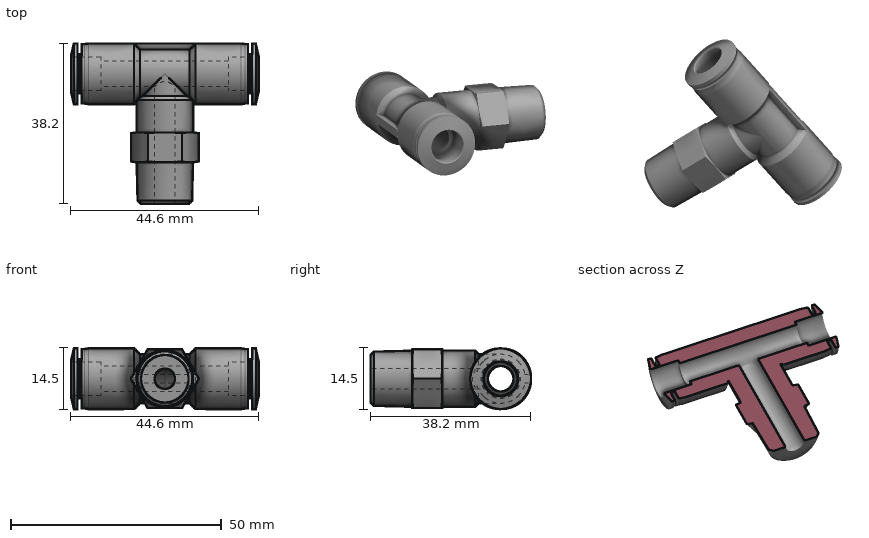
import cadquery as cq
import math


half_length = 22.3
cap_radius = 14.5 / 2
cap_face_radius = 8.3 / 2
cap_rim = 21.6
cap_inner_face = 20.7
collar_radius = 9.3 / 2
collar_groove_radius = 4.45
collar_groove_end = 20.2
sleeve_end = 19.75
sleeve_step = 19.05
sleeve_shoulder = 18.05
sleeve_lip_radius = 14.2 / 2
sleeve_radius = 14.5 / 2
sleeve_base = 7.3
waist_radius = 5.85
waist_half_length = sleeve_base - (sleeve_radius - waist_radius)

web_thickness = 2.0

tube_diameter = 7.95
socket_bottom = 15.15
tube_mouth_chamfer = 0.2
bore_diameter = 6.0

branch_radius = 13.5 / 2
branch_shoulder = 6.15
branch_cone_start = branch_shoulder - (branch_radius - waist_radius)
hex_start = 13.85
hex_end = 21.0
hex_across_flats = 14.0
hex_bevel_height = 0.22
thread_root_radius = 6.75
thread_tip_radius = 6.5
thread_chamfer = 0.9
overall_depth = 38.15
branch_end = overall_depth - cap_radius
branch_bore_diameter = 4.8

hex_across_corners = hex_across_flats / math.cos(math.pi / 6)


def revolve_about_y(points):
    """Turn (radius, distance) points about the branch axis, distance running to -Y."""
    profile = [(radius, -distance) for radius, distance in points]
    return cq.Workplane("XY").polyline(profile).close().revolve(360, (0, 0), (0, 1))


def make_run_half():
    """Waist, sleeve, collar and release cap on the +X side."""
    profile = (
        cq.Workplane("XY")
        .lineTo(0, waist_radius)
        .lineTo(waist_half_length, waist_radius)
        .lineTo(sleeve_base, sleeve_radius)
        .lineTo(sleeve_shoulder, sleeve_radius)
        .lineTo(sleeve_step, sleeve_lip_radius)
        .lineTo(sleeve_end, sleeve_lip_radius)
        .lineTo(sleeve_end, collar_groove_radius)
        .lineTo(collar_groove_end, collar_groove_radius)
        .lineTo(collar_groove_end, collar_radius)
        .lineTo(cap_inner_face, collar_radius)
        .lineTo(cap_inner_face, cap_radius)
        .lineTo(cap_rim, cap_radius)
        .lineTo(half_length, cap_face_radius)
        .lineTo(half_length, 0)
        .close()
    )
    return profile.revolve(360, (0, 0), (1, 0))


def make_web():
    """Flat web filling the back of the waist between the two sleeves."""
    return cq.Workplane("XY").box(
        2 * sleeve_base, sleeve_radius, web_thickness, centered=(True, False, True)
    )


def make_branch_body():
    """Plain shank that narrows to the waist radius where it meets the run."""
    return revolve_about_y([
        (0, 0),
        (waist_radius, 0),
        (waist_radius, branch_cone_start),
        (branch_radius, branch_shoulder),
        (branch_radius, hex_start),
        (0, hex_start),
    ])


def make_hex():
    """Hexagon with corners on +X and -X, bevelled at both ends."""
    prism = (
        cq.Workplane("XZ", origin=(0, -hex_start, 0))
        .polygon(6, hex_across_corners)
        .extrude(hex_end - hex_start)
    )
    corner_radius = hex_across_corners / 2
    face_radius = hex_across_flats / 2 - hex_bevel_height / 2
    bevel_envelope = revolve_about_y([
        (0, hex_start),
        (face_radius, hex_start),
        (corner_radius, hex_start + hex_bevel_height),
        (corner_radius, hex_end - hex_bevel_height),
        (face_radius, hex_end),
        (0, hex_end),
    ])
    return prism.intersect(bevel_envelope)


def make_thread():
    """Tapered thread envelope with a chamfered tip."""
    return revolve_about_y([
        (0, hex_end),
        (thread_root_radius, hex_end),
        (thread_tip_radius, branch_end - thread_chamfer),
        (thread_tip_radius - thread_chamfer, branch_end),
        (0, branch_end),
    ])


def make_tube_socket():
    """Tube socket of the +X end, with its chamfered mouth."""
    socket_length = half_length - socket_bottom
    socket = cq.Workplane("YZ", origin=(socket_bottom, 0, 0)).circle(tube_diameter / 2).extrude(socket_length)
    mouth = (
        cq.Workplane("YZ", origin=(half_length, 0, 0))
        .circle(tube_diameter / 2 + tube_mouth_chamfer)
        .extrude(-tube_mouth_chamfer, taper=45)
    )
    return socket.union(mouth)


run_half = make_run_half()
body = run_half.union(run_half.mirror("YZ"))
for feature in (make_web(), make_branch_body(), make_hex(), make_thread()):
    body = body.union(feature)

tube_socket = make_tube_socket()
run_bore = cq.Workplane("YZ").circle(bore_diameter / 2).extrude(half_length, both=True)
branch_bore = cq.Workplane("XZ").circle(branch_bore_diameter / 2).extrude(branch_end)
for passage in (tube_socket, tube_socket.mirror("YZ"), run_bore, branch_bore):
    body = body.cut(passage)

result = body